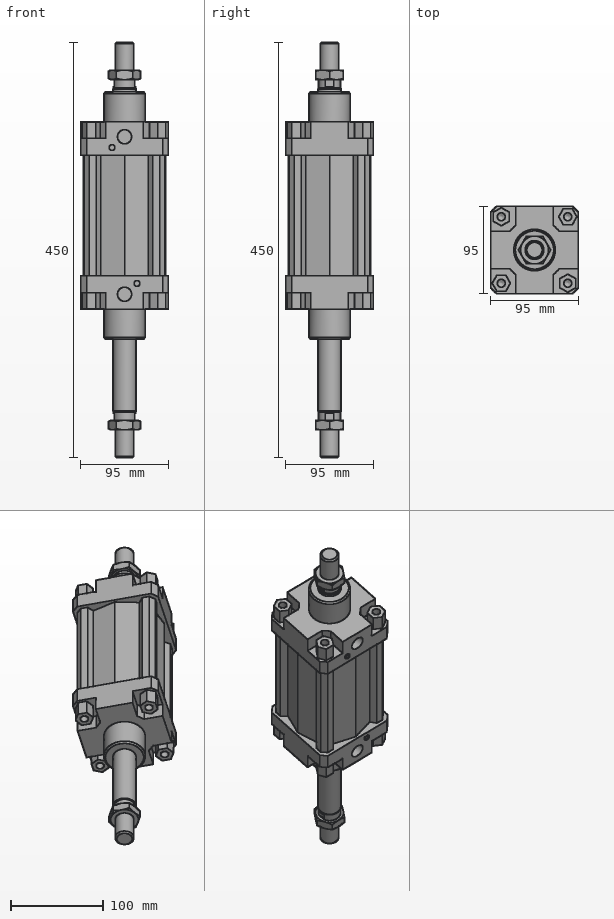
import cadquery as cq
import math


barrel_length = 130.0
cap_height = 36.5
boss_height = 32.5
rod_top = 187.5
rod_bottom = rod_top - 450

cap_side = 95.0
cap_corner_chamfer = 6.5
pocket_side = 27.0
pocket_depth = 18.0
pocket_chamfer = 6.5
boss_diameter = 45.0
boss_chamfer = 2.0

tie_offset = 36.0
tie_nut_flats = 17.0
tie_hole_diameter = 8.5
tie_hole_depth = 9.0
drill_tip_angle = 118

port_diameter = 15.5
port_depth = 13.5
port_inset = 16.0
screw_diameter = 6.5
screw_depth = 1.5
screw_inset = 28.0
screw_offset = 13.5

post_face = 43.5
post_chamfer = 5.5
post_inner_edge = 30.5
flute_edge = 25.5
flute_face = 37.5
ridge_face = 44.5

rod_diameter = 25.0
neck_diameter = 24.5
thread_diameter = 20.2
shoulder_chamfer = 1.5
tip_chamfer = 2.0
neck_length = 9.0
flat_length = 7.5
flat_gap = 22.5

nut_flats = 30.0
nut_height = 10.5
nut_tip_distance = 30.0
nut_face_diameter = 30.0
nut_chamfer_angle = 30

cap_inner = barrel_length / 2
cap_outer = cap_inner + cap_height
boss_end = cap_outer + boss_height
half_side = cap_side / 2
corner_signs = [(x_sign, y_sign) for x_sign in (-1, 1) for y_sign in (-1, 1)]


def hexagon(flats):
    """Hexagon outline at Z = 0 whose corners lie on the X axis."""
    return cq.Workplane("XY").polygon(6, flats / math.cos(math.pi / 6))


def make_barrel():
    """Barrel with a shallow ridge on each side and a chamfered post at each corner."""
    post_edge = post_face - post_chamfer
    side = [
        (-post_edge, -post_face),
        (-post_inner_edge, -post_face),
        (-flute_edge, -flute_face),
        (0, -ridge_face),
        (flute_edge, -flute_face),
        (post_inner_edge, -post_face),
        (post_edge, -post_face),
    ]
    outline = []
    for _ in range(4):
        outline += side
        side = [(-y, x) for x, y in side]
    return cq.Workplane("XY").workplane(offset=-cap_inner).polyline(outline).close().extrude(barrel_length)


def make_tie_nut(turn):
    """Hexagonal tie-rod nut with a drilled blind hole, standing on the pocket floor."""
    nut = hexagon(tie_nut_flats).extrude(pocket_depth).rotate((0, 0, 0), (0, 0, 1), turn)
    nut = nut.translate((0, 0, cap_outer - pocket_depth))
    radius = tie_hole_diameter / 2
    tip = radius / math.tan(math.radians(drill_tip_angle / 2))
    hole = (
        cq.Workplane("XZ")
        .moveTo(0, cap_outer)
        .lineTo(radius, cap_outer)
        .lineTo(radius, cap_outer - tie_hole_depth)
        .lineTo(0, cap_outer - tie_hole_depth - tip)
        .close()
        .revolve(360, (0, 0, 0), (0, 1, 0))
    )
    return nut.cut(hole)


def make_tie_nuts():
    """Tie-rod nuts of the upper cap, each a quarter turn from its neighbours."""
    nuts = cq.Workplane("XY")
    for x_sign, y_sign in corner_signs:
        turn = 0 if x_sign == y_sign else 90
        nuts.add(make_tie_nut(turn).translate((x_sign * tie_offset, y_sign * tie_offset, 0)))
    return nuts.combine()


def front_recess(x, z, diameter, depth):
    """Cylinder reaching from the -Y face of a cap into it."""
    return (
        cq.Workplane("XZ", origin=(x, -half_side, z))
        .circle(diameter / 2)
        .extrude(-depth)
    )


def make_cap():
    """Upper end cap with its boss, corner pockets, port and screw recess."""
    cap = (
        cq.Workplane("XY")
        .workplane(offset=cap_inner)
        .rect(cap_side, cap_side)
        .extrude(cap_height)
        .edges("|Z")
        .chamfer(cap_corner_chamfer)
    )
    boss = (
        cq.Workplane("XY")
        .workplane(offset=cap_outer)
        .circle(boss_diameter / 2)
        .extrude(boss_height)
        .faces(">Z")
        .chamfer(boss_chamfer)
    )
    for x_sign, y_sign in corner_signs:
        pocket = (
            cq.Workplane("XY")
            .workplane(offset=cap_outer - pocket_depth)
            .center(x_sign * half_side, y_sign * half_side)
            .rect(2 * pocket_side, 2 * pocket_side)
            .extrude(pocket_depth)
            .edges("|Z")
            .chamfer(pocket_chamfer)
        )
        cap = cap.cut(pocket)
    cap = cap.cut(front_recess(0, cap_outer - port_inset, port_diameter, port_depth))
    cap = cap.cut(front_recess(-screw_offset, cap_outer - screw_inset, screw_diameter, screw_depth))
    return cap.union(boss)


def make_housing():
    """Barrel, end caps and tie-rod nuts in one piece, bored through for the rod."""
    upper_cap = make_cap()
    lower_cap = upper_cap.rotate((0, 0, 0), (0, 1, 0), 180)
    bore = cq.Workplane("XY").circle(rod_diameter / 2).extrude(boss_end, both=True)
    upper_nuts = make_tie_nuts()
    housing = make_barrel()
    for part in (upper_cap, lower_cap, upper_nuts, upper_nuts.mirror("XY")):
        housing = housing.union(part)
    return housing.cut(bore)


def rod_end_profile(tip, direction):
    """Half-profile points of one rod end, from its tip to the full diameter."""
    neck_start = nut_tip_distance + nut_height
    shoulder = neck_start + neck_length
    steps = [
        (0, 0),
        (thread_diameter / 2 - tip_chamfer, 0),
        (thread_diameter / 2, tip_chamfer),
        (thread_diameter / 2, neck_start),
        (neck_diameter / 2, neck_start),
        (neck_diameter / 2, shoulder),
        (rod_diameter / 2, shoulder + shoulder_chamfer),
    ]
    return [(radius, tip - direction * distance) for radius, distance in steps]


def make_rod():
    """Through rod with a threaded tip, a neck and two wrench flats at each end."""
    profile = rod_end_profile(rod_top, 1) + rod_end_profile(rod_bottom, -1)[::-1]
    rod = cq.Workplane("XZ").polyline(profile).close().revolve(360, (0, 0, 0), (0, 1, 0))
    flat_middle = nut_tip_distance + nut_height + flat_length / 2
    for z in (rod_top - flat_middle, rod_bottom + flat_middle):
        for x_sign in (-1, 1):
            x = x_sign * (flat_gap + rod_diameter) / 2
            rod = rod.cut(cq.Workplane("XY").box(rod_diameter, rod_diameter, flat_length).translate((x, 0, z)))
    return rod


def make_rod_nut(z):
    """Thin hexagonal nut centred at height z, with its corners chamfered on both faces."""
    face_radius = nut_face_diameter / 2
    rise = nut_height / 2 * math.tan(math.radians(90 - nut_chamfer_angle))
    envelope = (
        cq.Workplane("XZ")
        .polyline([
            (0, -nut_height / 2),
            (face_radius, -nut_height / 2),
            (face_radius + rise, 0),
            (face_radius, nut_height / 2),
            (0, nut_height / 2),
        ])
        .close()
        .revolve(360, (0, 0, 0), (0, 1, 0))
    )
    blank = hexagon(nut_flats).circle(thread_diameter / 2).extrude(nut_height)
    return blank.translate((0, 0, -nut_height / 2)).intersect(envelope).translate((0, 0, z))


housing = make_housing()
rod = make_rod()
nut_middle = nut_tip_distance + nut_height / 2
rod_nuts = [make_rod_nut(z) for z in (rod_top - nut_middle, rod_bottom + nut_middle)]

result = cq.Compound.makeCompound([housing.val(), rod.val(), *[nut.val() for nut in rod_nuts]])